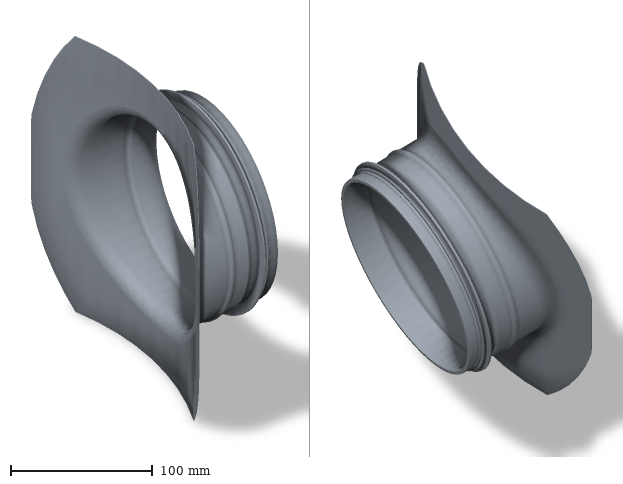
import cadquery as cq
import math


saddle_width = 215.0
saddle_height = 245.0
overall_depth = 85.67

sheet = 0.5
duct_inner_radius = 200.0
duct_outer_radius = duct_inner_radius + sheet
collar_radius = 159.0 / 2
groove_radius = 154.2 / 2
neck_inside_bend = 9.5

corner_half_width = 76.4
side_arc_radius = 424.0

saddle_edge_y = math.sqrt(duct_inner_radius**2 - (saddle_width / 2) ** 2)
collar_end_y = saddle_edge_y + overall_depth
collar_root_y = duct_inner_radius / 2

cone_start = 21.6
cone_length = 3.2
cone_slope = math.atan2(collar_radius - groove_radius, cone_length)
cone_bend = 0.75

bead_center = 39.0
bead_half_width = 2.9
bead_slope = math.radians(35)
bead_root_bend = 1.5
bead_crown_bend = 2.1

hem_bend_length = 1.6
hem_length = 6.4
hem_end_radius = 158.4 / 2
hem_inner_radius = collar_radius - sheet

bump = (8.0, 9.7, 160.4 / 2)
small_fin = (10.2, 11.0, 164.4 / 2)
large_fin = (13.8, 15.4, 169.4 / 2)
gasket_bore_radius = 155.4 / 2
gasket_end = large_fin[1]


def from_end(distance):
    return collar_end_y - distance


def rounded_path(path, corners):
    """Continue a path through corners (x, y, bend radius); the first and last corners stay sharp."""
    points = [cq.Vector(x, y) for x, y, radius in corners]
    path = path.lineTo(points[0].x, points[0].y)
    for i in range(1, len(corners) - 1):
        radius = corners[i][2]
        to_before = (points[i - 1] - points[i]).normalized()
        to_after = (points[i + 1] - points[i]).normalized()
        half_angle = to_before.getAngle(to_after) / 2
        tangent_length = radius / math.tan(half_angle)
        bisector = (to_before + to_after).normalized()
        arc_start = points[i] + to_before * tangent_length
        arc_middle = points[i] + bisector * (radius / math.sin(half_angle) - radius)
        arc_end = points[i] + to_after * tangent_length
        path = path.lineTo(arc_start.x, arc_start.y)
        path = path.threePointArc((arc_middle.x, arc_middle.y), (arc_end.x, arc_end.y))
    return path.lineTo(points[-1].x, points[-1].y)


def revolve_about_collar_axis(profile):
    return profile.close().revolve(360, (0, 0, 0), (0, 1, 0))


def collar_form(inset):
    """Solid within the collar wall surface that lies the given depth inside the outer surface."""
    groove = groove_radius - inset
    wall = collar_radius - inset
    cone_top = cone_start + inset * math.tan(cone_slope / 2)
    corners = [
        (groove, from_end(0), 0),
        (groove, from_end(cone_top), cone_bend + inset),
        (wall, from_end(cone_top + cone_length), cone_bend + sheet - inset),
        (wall, collar_root_y, 0),
    ]
    path = cq.Workplane("XY").moveTo(0, from_end(0))
    path = rounded_path(path, corners).lineTo(0, collar_root_y)
    return revolve_about_collar_axis(path)


def branch_form(inset):
    """Duct and collar joined by a rounded neck, inset from the outer sheet surface."""
    duct = cq.Workplane("XY").circle(duct_outer_radius - inset).extrude(saddle_height / 2 + 1, both=True)
    branch = duct.union(collar_form(inset))
    neck_zone = cq.selectors.BoxSelector(
        (-collar_radius, collar_root_y, -collar_radius),
        (collar_radius, duct_outer_radius + 1, collar_radius),
    )
    return branch.edges(neck_zone).fillet(neck_inside_bend + inset)


def saddle_outline():
    """Space that bounds the saddle: straight ends and flats, and arched sides cut along X."""
    space = cq.Workplane("XY").box(saddle_width, 2 * collar_end_y, saddle_height)
    corner_y = math.sqrt(duct_outer_radius**2 - corner_half_width**2)
    arc_center_y = corner_y + math.sqrt(side_arc_radius**2 - (saddle_height / 2) ** 2)
    side_arch = (
        cq.Workplane("YZ").center(arc_center_y, 0).circle(side_arc_radius).extrude(saddle_width, both=True)
    )
    return space.intersect(side_arch)


def make_hem():
    """End wall and outer layer of the fold."""
    profile = cq.Workplane("XY").polyline([
        (groove_radius, from_end(0)),
        (hem_end_radius, from_end(0)),
        (collar_radius, from_end(hem_bend_length)),
        (collar_radius, from_end(hem_length)),
        (hem_inner_radius, from_end(hem_length)),
        (hem_inner_radius, from_end(sheet)),
        (groove_radius, from_end(sheet)),
    ])
    return revolve_about_collar_axis(profile)


def make_bead():
    """Solid bead seated on the outside of the collar wall."""
    crown_radius = collar_radius + bead_half_width * math.tan(bead_slope)
    seat_radius = collar_radius - sheet / 2
    seat_start = from_end(bead_center - 2 * bead_half_width)
    seat_end = from_end(bead_center + 2 * bead_half_width)
    corners = [
        (collar_radius, seat_start, 0),
        (collar_radius, from_end(bead_center - bead_half_width), bead_root_bend),
        (crown_radius, from_end(bead_center), bead_crown_bend),
        (collar_radius, from_end(bead_center + bead_half_width), bead_root_bend),
        (collar_radius, seat_end, 0),
    ]
    path = cq.Workplane("XY").moveTo(seat_radius, seat_start)
    path = rounded_path(path, corners).lineTo(seat_radius, seat_end)
    return revolve_about_collar_axis(path)


def make_saddle():
    shell = branch_form(0).cut(branch_form(sheet))
    return shell.intersect(saddle_outline()).union(make_hem()).union(make_bead())


def make_gasket():
    """Ring round the collar groove, with a tongue held in the hem and lips on the outside."""
    points = [
        (gasket_bore_radius, from_end(sheet)),
        (hem_inner_radius, from_end(sheet)),
        (hem_inner_radius, from_end(hem_length)),
        (collar_radius, from_end(hem_length)),
    ]
    for start, end, lip_radius in (bump, small_fin, large_fin):
        points += [
            (collar_radius, from_end(start)),
            (lip_radius, from_end(start)),
            (lip_radius, from_end(end)),
            (collar_radius, from_end(end)),
        ]
    points[-1] = (gasket_bore_radius, from_end(gasket_end))
    return revolve_about_collar_axis(cq.Workplane("XY").polyline(points))


saddle = make_saddle()
gasket = make_gasket()
result = cq.Compound.makeCompound([saddle.val(), gasket.val()])